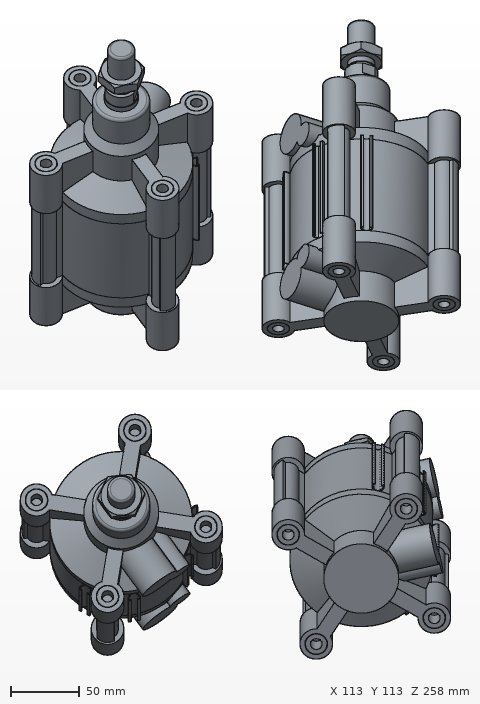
import cadquery as cq
import math


SIDE = 113.0
TOTAL_HEIGHT = 258.0
LUG_DIAMETER = 24.0
LUG_OFFSET = (SIDE - LUG_DIAMETER) / 2
LUG_RADIUS_OUT = LUG_OFFSET * math.sqrt(2)
LUG_ANGLES = (45, 135, 225, 315)
RIB_ANGLES = (45, 135)

CAP_HEIGHT = 45.5
BARREL_LENGTH = 80.0
BARREL_BOTTOM = CAP_HEIGHT
BARREL_TOP = BARREL_BOTTOM + BARREL_LENGTH
HUB_TOP = BARREL_TOP + CAP_HEIGHT

BODY_DIAMETER = 105.0
HUB_DIAMETER = 55.0
RIM_HEIGHT = 10.0
CONE_HEIGHT = 9.3
LUG_HEIGHT = 41.3
RIB_WIDTH = 11.5
LUG_HOLE_DIAMETER = 8.5
LUG_HOLE_DEPTH = 16.0
LUG_GROOVE_OUTER = 16.5
LUG_GROOVE_INNER = 16.0
LUG_GROOVE_DEPTH = 2.5

PORT_END = SIDE / 2
PORT_DIAMETER = 31.0
PORT_X = 5.7
PORT_HEIGHT = 23.5
SIDE_PORT_DIAMETER = 18.0
SIDE_PORT_X = -12.5
SIDE_PORT_HEIGHT = 13.5

COLLAR_DIAMETER = 42.0
CONE_TOP = 177.8
COLLAR_TOP = 203.3
COLLAR_FILLET = 2.3

BORE_DIAMETER = 100.0
RAIL_NECK_WIDTH = 11.0
RAIL_CORE_DIAMETER = 16.0
LIP_RADIUS = 10.5
LIP_HALF_WIDTH = 6.5
CORE_JOIN = 5.7

SLOT_ANGLE = 26
SLOT_AXIS_RADIUS = 56.5
SLOT_OUTER_DIAMETER = 9.3
SLOT_WALL = 0.8
SLOT_TOP_RADIUS = 57.5
SLOT_OPENING = 4.6

ROD_DIAMETER = 25.0
ROD_SHOULDER = 208.0
FLAT_DIAMETER = 24.3
FLAT_TOP = 218.3
FLAT_BOTTOM = 209.8
FLAT_WIDTH = 22.0
NECK_DIAMETER = 18.5
NECK_TOP = 221.4
THREAD_DIAMETER = 20.0
TIP_FILLET = 2.0

NUT_BOTTOM = 225.8
NUT_HEIGHT = 9.0
NUT_WIDTH = 30.2
NUT_CORNERS = NUT_WIDTH / math.cos(math.radians(30))
NUT_FACE_DIAMETER = 29.7
NUT_BEVEL_ANGLE = 30


def cylinder(diameter, bottom, height):
    """Upright cylinder on the Z axis."""
    return cq.Workplane("XY").workplane(offset=bottom).circle(diameter / 2).extrude(height)


def port_boss(diameter, x, z):
    """Round boss from the cap's middle out to the +Y side."""
    return cq.Workplane("XZ").center(x, z).circle(diameter / 2).extrude(-PORT_END)


def lug_points(workplane):
    """Place the four lug axes on a workplane."""
    return workplane.rect(2 * LUG_OFFSET, 2 * LUG_OFFSET, forConstruction=True).vertices()


def end_cap():
    """End cap with its barrel joint at Z = 0 and its hub pointing up."""
    body_radius = BODY_DIAMETER / 2
    hub_radius = HUB_DIAMETER / 2
    cap = (
        cq.Workplane("XZ")
        .polyline([
            (0, 0),
            (body_radius, 0),
            (body_radius, RIM_HEIGHT),
            (hub_radius, RIM_HEIGHT + CONE_HEIGHT),
            (hub_radius, CAP_HEIGHT),
            (0, CAP_HEIGHT),
        ])
        .close()
        .revolve(360, (0, 0, 0), (0, 1, 0))
    )

    cap = cap.union(port_boss(PORT_DIAMETER, PORT_X, PORT_HEIGHT))
    cap = cap.union(port_boss(SIDE_PORT_DIAMETER, SIDE_PORT_X, SIDE_PORT_HEIGHT))

    for angle in RIB_ANGLES:
        rib = cq.Workplane("XY").rect(2 * LUG_RADIUS_OUT, RIB_WIDTH).extrude(LUG_HEIGHT)
        cap = cap.union(rib.rotate((0, 0, 0), (0, 0, 1), angle))
    cap = cap.union(lug_points(cq.Workplane("XY")).circle(LUG_DIAMETER / 2).extrude(LUG_HEIGHT))

    lug_top = cq.Workplane("XY").workplane(offset=LUG_HEIGHT)
    holes = lug_points(lug_top).circle(LUG_HOLE_DIAMETER / 2).extrude(-LUG_HOLE_DEPTH)
    grooves = (
        lug_points(lug_top).circle(LUG_GROOVE_OUTER / 2).extrude(-LUG_GROOVE_DEPTH)
        .cut(lug_points(lug_top).circle(LUG_GROOVE_INNER / 2).extrude(-LUG_GROOVE_DEPTH))
    )
    return cap.cut(holes).cut(grooves)


def make_rear_cap():
    """End cap turned to point down from the barrel."""
    return end_cap().mirror("XY").translate((0, 0, BARREL_BOTTOM))


def make_front_cap():
    """End cap with a coned collar on its hub and the bore for the rod."""
    cone_height = (HUB_DIAMETER - COLLAR_DIAMETER) / 2
    cone = cylinder(HUB_DIAMETER, HUB_TOP, CONE_TOP - HUB_TOP).faces(">Z").chamfer(cone_height)
    collar = cylinder(COLLAR_DIAMETER, HUB_TOP, COLLAR_TOP - HUB_TOP).faces(">Z").fillet(COLLAR_FILLET)
    cap = end_cap().translate((0, 0, BARREL_TOP)).union(cone).union(collar)
    return cap.cut(cylinder(ROD_DIAMETER, BARREL_TOP, COLLAR_TOP - BARREL_TOP))


def corner_rail():
    """Rail along one lug axis: a neck, a round core and a wider outer lip, pointing along +X."""
    core_radius = RAIL_CORE_DIAMETER / 2
    core_join_half = math.sqrt(core_radius ** 2 - CORE_JOIN ** 2)
    lip_end = LUG_RADIUS_OUT + math.sqrt(LIP_RADIUS ** 2 - LIP_HALF_WIDTH ** 2)
    base = cq.Workplane("XY").workplane(offset=BARREL_BOTTOM)
    neck_start = BORE_DIAMETER / 2
    neck = (
        base.center((neck_start + LUG_RADIUS_OUT) / 2, 0)
        .rect(LUG_RADIUS_OUT - neck_start, RAIL_NECK_WIDTH)
        .extrude(BARREL_LENGTH)
    )
    core = base.center(LUG_RADIUS_OUT, 0).circle(core_radius).extrude(BARREL_LENGTH)
    lip = (
        base.moveTo(LUG_RADIUS_OUT + CORE_JOIN, -core_join_half)
        .lineTo(lip_end, -LIP_HALF_WIDTH)
        .threePointArc((LUG_RADIUS_OUT + LIP_RADIUS, 0), (lip_end, LIP_HALF_WIDTH))
        .lineTo(LUG_RADIUS_OUT + CORE_JOIN, core_join_half)
        .close()
        .extrude(BARREL_LENGTH)
    )
    return neck.union(core).union(lip)


def sensor_slot():
    """Round channel along +X with a flat outer face and a narrow opening between two lips."""

    def channel_shape(diameter, flat_radius):
        """Cylinder on the slot axis, cut flat at a distance from the barrel axis."""
        height = flat_radius - BORE_DIAMETER / 2
        base = cq.Workplane("XY").workplane(offset=BARREL_BOTTOM)
        round_part = base.center(SLOT_AXIS_RADIUS, 0).circle(diameter / 2).extrude(BARREL_LENGTH)
        return round_part.intersect(
            base.center(flat_radius - height / 2, 0).rect(height, diameter).extrude(BARREL_LENGTH)
        )

    outside = channel_shape(SLOT_OUTER_DIAMETER, SLOT_TOP_RADIUS)
    channel = channel_shape(SLOT_OUTER_DIAMETER - 2 * SLOT_WALL, SLOT_TOP_RADIUS - SLOT_WALL)
    opening = (
        cq.Workplane("XY").workplane(offset=BARREL_BOTTOM)
        .center(SLOT_AXIS_RADIUS + SLOT_OUTER_DIAMETER / 2, 0)
        .rect(SLOT_OUTER_DIAMETER, SLOT_OPENING)
        .extrude(BARREL_LENGTH)
    )
    return outside.cut(channel).cut(opening)


def make_barrel():
    """Tube with four corner rails and four sensor slots on its +Y half."""
    barrel = cylinder(BODY_DIAMETER, BARREL_BOTTOM, BARREL_LENGTH)
    for angle in LUG_ANGLES:
        barrel = barrel.union(corner_rail().rotate((0, 0, 0), (0, 0, 1), angle))
    for angle in (SLOT_ANGLE, 90 - SLOT_ANGLE, 90 + SLOT_ANGLE, 180 - SLOT_ANGLE):
        barrel = barrel.union(sensor_slot().rotate((0, 0, 0), (0, 0, 1), angle))
    return barrel.cut(cylinder(BORE_DIAMETER, BARREL_BOTTOM, BARREL_LENGTH))


def make_rod():
    """Stepped rod with two wrench flats facing -X and +X."""
    rod = (
        cq.Workplane("XZ")
        .polyline([
            (0, BARREL_TOP),
            (ROD_DIAMETER / 2, BARREL_TOP),
            (ROD_DIAMETER / 2, ROD_SHOULDER),
            (FLAT_DIAMETER / 2, ROD_SHOULDER),
            (FLAT_DIAMETER / 2, FLAT_TOP),
            (NECK_DIAMETER / 2, FLAT_TOP),
            (NECK_DIAMETER / 2, NECK_TOP),
            (THREAD_DIAMETER / 2, NECK_TOP),
            (THREAD_DIAMETER / 2, TOTAL_HEIGHT),
            (0, TOTAL_HEIGHT),
        ])
        .close()
        .revolve(360, (0, 0, 0), (0, 1, 0))
        .faces(">Z").fillet(TIP_FILLET)
    )
    half = FLAT_WIDTH / 2
    runout = FLAT_BOTTOM - ROD_SHOULDER
    flat = (
        cq.Workplane("XZ")
        .polyline([
            (half, FLAT_TOP),
            (half, FLAT_BOTTOM),
            (half + runout, ROD_SHOULDER),
            (half + runout, FLAT_TOP),
        ])
        .close()
        .extrude(ROD_DIAMETER / 2, both=True)
    )
    return rod.cut(flat).cut(flat.mirror("YZ"))


def make_nut():
    """Hexagon nut with corners on the Y axis, bevelled at both ends."""
    nut = (
        cq.Workplane("XY").workplane(offset=NUT_BOTTOM)
        .polygon(6, NUT_CORNERS).extrude(NUT_HEIGHT)
        .rotate((0, 0, 0), (0, 0, 1), 90)
    )
    bevel_width = (NUT_CORNERS - NUT_FACE_DIAMETER) / 2
    bevel_height = bevel_width * math.tan(math.radians(NUT_BEVEL_ANGLE))
    corner_radius = NUT_CORNERS / 2
    face_radius = NUT_FACE_DIAMETER / 2
    envelope = (
        cq.Workplane("XZ")
        .polyline([
            (0, NUT_BOTTOM),
            (face_radius, NUT_BOTTOM),
            (corner_radius, NUT_BOTTOM + bevel_height),
            (corner_radius, NUT_BOTTOM + NUT_HEIGHT - bevel_height),
            (face_radius, NUT_BOTTOM + NUT_HEIGHT),
            (0, NUT_BOTTOM + NUT_HEIGHT),
        ])
        .close()
        .revolve(360, (0, 0, 0), (0, 1, 0))
    )
    return nut.intersect(envelope).cut(cylinder(THREAD_DIAMETER, NUT_BOTTOM, NUT_HEIGHT))


rear_cap = make_rear_cap()
barrel = make_barrel()
front_cap = make_front_cap()
rod = make_rod()
nut = make_nut()

result = cq.Compound.makeCompound([
    rear_cap.solids().val(),
    barrel.solids().val(),
    front_cap.solids().val(),
    rod.solids().val(),
    nut.solids().val(),
])